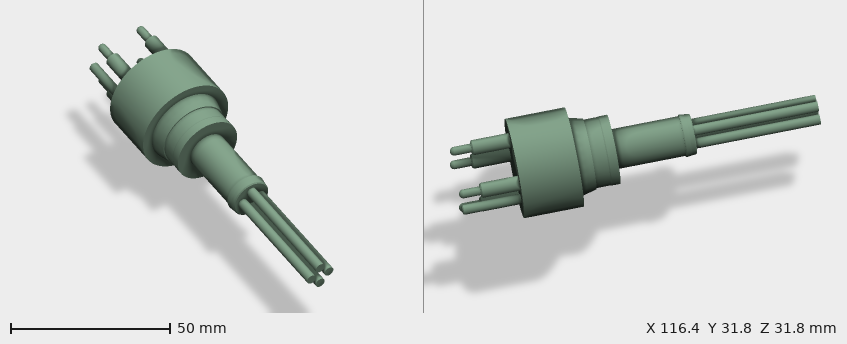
import cadquery as cq
import math

pin_dome_length = 1.2
pin_shoulder_x = 6.8
key_tip_x = 0.5
body_front_x = 19.2
body_rear_x = 38.3
taper_end_x = 43.2
step_start_x = 47.9
step_end_x = 48.2
flange_end_x = 51.0
lip_start_x = 72.9
lip_crest_x = 73.2
lip_taper_x = 74.9
sleeve_end_x = 76.5
overall_length = 116.4

pin_tip_diameter = 2.8
pin_diameter = 4.8
key_diameter = 3.1
body_diameter = 31.8
taper_start_diameter = 25.1
taper_end_diameter = 22.7
flange_front_diameter = 21.9
flange_rear_diameter = 22.1
sleeve_diameter = 12.7
lip_edge_diameter = 13.4
lip_diameter = 13.6
lip_taper_diameter = 13.2
sleeve_rim_diameter = 12.9
wire_diameter = 3.3

pitch_radius = 10.1
pin_offset = pitch_radius / math.sqrt(2)
wire_offset = 3.3

pin_shoulder_chamfer = 0.5
key_chamfer = 0.3
sleeve_end_chamfer = 0.3


def revolve_about_x(profile):
    return profile.close().revolve(360, (0, 0, 0), (1, 0, 0))


def rod(start_x, end_x, diameter, y, z):
    plane = cq.Workplane("YZ", origin=(start_x, y, z))
    return plane.circle(diameter / 2).extrude(end_x - start_x)


def make_body():
    """Round body: head, taper, stepped flange and lipped sleeve."""
    profile = (
        cq.Workplane("XY")
        .moveTo(body_front_x, 0)
        .lineTo(body_front_x, body_diameter / 2)
        .lineTo(body_rear_x, body_diameter / 2)
        .lineTo(body_rear_x, taper_start_diameter / 2)
        .lineTo(taper_end_x, taper_end_diameter / 2)
        .lineTo(taper_end_x, flange_front_diameter / 2)
        .lineTo(step_start_x, flange_front_diameter / 2)
        .lineTo(step_end_x, flange_rear_diameter / 2)
        .lineTo(flange_end_x, flange_rear_diameter / 2)
        .lineTo(flange_end_x, sleeve_diameter / 2)
        .lineTo(lip_start_x, sleeve_diameter / 2)
        .lineTo(lip_start_x, lip_edge_diameter / 2)
        .lineTo(lip_crest_x, lip_diameter / 2)
        .lineTo(lip_taper_x, lip_taper_diameter / 2)
        .lineTo(sleeve_end_x - sleeve_end_chamfer, sleeve_rim_diameter / 2)
        .lineTo(sleeve_end_x, sleeve_rim_diameter / 2 - sleeve_end_chamfer)
        .lineTo(sleeve_end_x, 0)
    )
    return revolve_about_x(profile)


def make_pin(y, z):
    """Stepped contact pin with a rounded tip and a chamfered shoulder."""
    tip_radius = pin_tip_diameter / 2
    sphere_radius = (tip_radius**2 + pin_dome_length**2) / (2 * pin_dome_length)
    half_angle = math.asin(tip_radius / sphere_radius) / 2
    dome_middle = (
        sphere_radius * (1 - math.cos(half_angle)),
        sphere_radius * math.sin(half_angle),
    )
    profile = (
        cq.Workplane("XY")
        .threePointArc(dome_middle, (pin_dome_length, tip_radius))
        .lineTo(pin_shoulder_x, tip_radius)
        .lineTo(pin_shoulder_x, pin_diameter / 2 - pin_shoulder_chamfer)
        .lineTo(pin_shoulder_x + pin_shoulder_chamfer, pin_diameter / 2)
        .lineTo(body_front_x, pin_diameter / 2)
        .lineTo(body_front_x, 0)
    )
    return revolve_about_x(profile).translate((0, y, z))


def make_key():
    """Plain chamfered keying rod on the -Y side."""
    key = rod(key_tip_x, body_front_x, key_diameter, -pitch_radius, 0)
    return key.faces("<X").chamfer(key_chamfer)


result = make_body().union(make_key())

for y_side in (-1, 1):
    for z_side in (-1, 1):
        result = result.union(make_pin(y_side * pin_offset, z_side * pin_offset))

for y_dir, z_dir in ((1, 0), (0, 1), (-1, 0), (0, -1)):
    wire_y = y_dir * wire_offset
    wire_z = z_dir * wire_offset
    result = result.union(rod(sleeve_end_x, overall_length, wire_diameter, wire_y, wire_z))